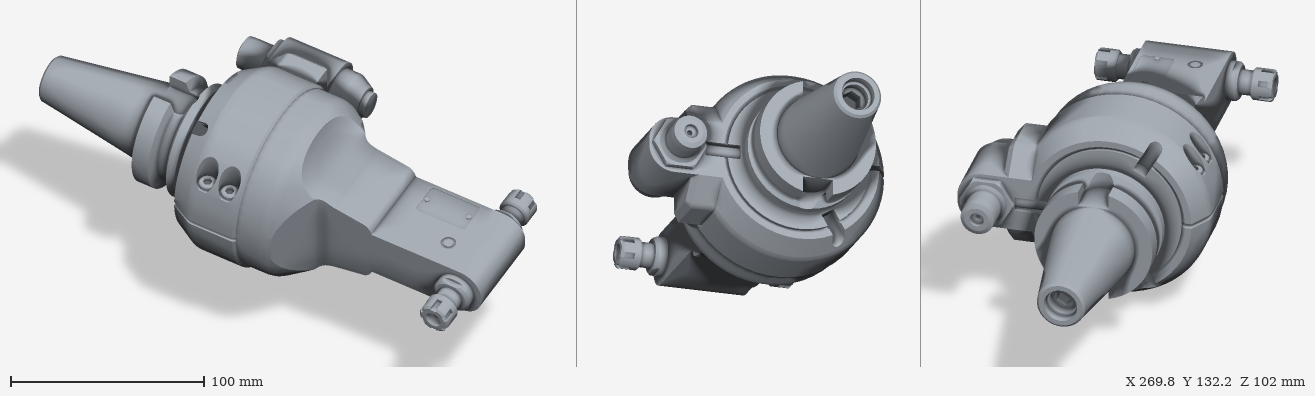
import cadquery as cq
import math


taper_length = 65.0
taper_chamfer = 1.3
taper_slope = 7 / 48
gauge_radius = 22.5
flange_start = 66.7
flange_radius = 31.5
groove_radius = 26.0
front_rim_end = 76.4
groove_start = 78.8
groove_end = 84.0
rear_rim_start = 87.2
flange_end = 92.0
neck_radius = 25.4
neck_end = 124.0
key_width = 16.2
key_floor = 22.5
key_end = 88.0
draw_bore_diameter = 17.8
draw_bore_depth = 5.5
thread_diameter = 14.5
thread_depth = 5.5
hex_socket_flats = 9.7
hex_socket_depth = 8.0

ring_start = 99.0
ring_end = 139.0
ring_radius = 51.0
ring_front_radius = 44.0
ring_cone_end = 111.7
ring_edge_radius = 8.0
ring_edge_chamfer = 1.3
nose_radius = 38.5
bore_chamfer = 2.0
slit_width = 2.7
notch_diameter = 7.5
notch_floor = 107.7
notch_inner_radius = 31.5
notch_outer_radius = 50.7
notch_count = 3
screw_first_x = 117.0
screw_pitch = 13.2
screw_y = -40.7
counterbore_diameter = 11.5
counterbore_floor = 21.5
screw_head_diameter = 9.0
screw_head_height = 2.7
screw_head_chamfer = 0.5
screw_socket_depth = 2.2
screw_socket_flats = 4.3

block_seat_y = 41.5
block_end = 134.5
block_outer_y = 57.2
block_half_width = 28.5
block_slope_length = 12.1
block_slope_fillet = 5.0
block_chamfer = 3.2
arm_half_width = 15.0
arm_tip_y = 81.2
arm_tip_radius = 13.5

plunger_y = 65.3
plunger_start = 77.7
plunger_tip_radius = 6.5
plunger_chamfer_end = 78.8
plunger_chamfer_radius = 9.0
plunger_shank_start = 83.0
plunger_radius = 9.2
plunger_flare_start = 93.4
plunger_flare_radius = 11.0
plunger_hole_diameter = 7.5
plunger_hole_depth = 2.7
plunger_vent_diameter = 3.0
plunger_vent_depth = 2.7
hex_start = 95.3
hex_flats = 25.4
hex_chamfer = 1.0
cap_radius = 13.2
cap_end = 142.2
cap_rim_end = 143.8
cap_rim_radius = 12.7
cap_cone_end = 150.5
cap_cone_radius = 9.0
knob_radius = 7.0
knob_end = 153.8

housing_radius = 49.5
shoulder_start = 151.5
shoulder_radius = 13.0
shoulder_angle = math.radians(33)
dome_end = 194.3
total_length = 269.8
blade_half_thickness = 14.3
blade_half_width = 23.2
blade_tip_radius = 12.7
blade_start = 204.8
wedge_end = 200.8
wedge_round_mid = (203.2, 17.5)
wedge_end_height = 19.5
wedge_start = 182.0
wedge_start_height = 23.0
flare_mid = (166.2, 33.2)
flare_start = (159.7, 47.0)
side_cut_start = (158.5, 46.7)
side_cut_end = (175.0, 23.2)
side_cut_fillet = 5.5

plate_start, plate_end = 215.5, 244.7
plate_low_y, plate_high_y = 3.2, 21.0
plate_depth = 0.3
plate_corner_radius = 2.0
rivet_diameter = 2.6
rivet_inset = 2.2
rivet_height = 0.5
plug_x, plug_y = 242.0, -8.4
plug_recess_diameter = 8.0
plug_head_diameter = 5.0
plug_recess_depth = 0.8

spindle_x = 255.3
collar_diameter = 20.8
collar_height = 6.2
collar_chamfer = 1.3
collar_flats = 17.5
collar_flat_height = 3.2
spindle_diameter = 13.2
nut_diameter = 17.0
nut_start = 36.0
nut_end = 47.5
nut_chamfer = 1.0
nut_bore_diameter = 9.0
nut_bore_depth = 5.5
nut_slot_count = 6
nut_slot_width = 3.2
nut_slot_depth = 2.0
nut_slot_length = 7.0


def box(x_range, y_range, z_range):
    """Axis-aligned box given by its limits."""
    (x0, x1), (y0, y1), (z0, z1) = x_range, y_range, z_range
    return cq.Workplane("XY").box(x1 - x0, y1 - y0, z1 - z0, centered=False).translate((x0, y0, z0))


def x_cylinder(radius, x0, x1, y=0.0):
    """Cylinder parallel to the X axis."""
    return cq.Workplane("YZ", origin=(x0, y, 0)).circle(radius).extrude(x1 - x0)


def x_hexagon(flats, x0, x1, y=0.0):
    """Hexagonal prism parallel to the X axis, with corners on its Y axis."""
    corner_diameter = flats / math.cos(math.pi / 6)
    return cq.Workplane("YZ", origin=(x0, y, 0)).polygon(6, corner_diameter).extrude(x1 - x0)


def revolve_about_x(profile):
    """Full turn of a closed XY-plane profile about the X axis."""
    return profile.close().revolve(360, (0, 0, 0), (1, 0, 0))


def make_arbor():
    small_end_radius = gauge_radius - taper_length * taper_slope
    arbor = revolve_about_x(
        cq.Workplane("XY").polyline([
            (0, 0),
            (0, small_end_radius - taper_chamfer),
            (taper_chamfer, small_end_radius),
            (taper_length, gauge_radius),
            (flange_start, gauge_radius),
            (flange_start, flange_radius),
            (front_rim_end, flange_radius),
            (groove_start, groove_radius),
            (groove_end, groove_radius),
            (rear_rim_start, flange_radius),
            (flange_end, flange_radius),
            (flange_end, neck_radius),
            (neck_end, neck_radius),
            (neck_end, 0),
        ])
    )
    key_round_x = key_end - key_width / 2
    key_height = flange_radius - key_floor + 2.7
    keyway = (
        cq.Workplane("XY", origin=(0, 0, key_floor))
        .moveTo(taper_length, -key_width / 2)
        .lineTo(key_round_x, -key_width / 2)
        .threePointArc((key_end, 0), (key_round_x, key_width / 2))
        .lineTo(taper_length, key_width / 2)
        .close()
        .extrude(key_height)
    )
    arbor = arbor.cut(keyway).cut(keyway.mirror("XY"))
    thread_end = draw_bore_depth + thread_depth
    hex_socket = x_hexagon(hex_socket_flats, thread_end, thread_end + hex_socket_depth)
    arbor = arbor.cut(x_cylinder(draw_bore_diameter / 2, 0, draw_bore_depth))
    arbor = arbor.cut(x_cylinder(thread_diameter / 2, 0, thread_end))
    return arbor.cut(hex_socket.rotate((0, 0, 0), (1, 0, 0), 90))


def make_dog():
    """Round radial dog along +Y that fits the bottom of a notch."""
    radius = notch_diameter / 2
    return (
        cq.Workplane("XZ", origin=(notch_floor - radius, notch_outer_radius, 0))
        .circle(radius)
        .extrude(notch_outer_radius - notch_inner_radius)
    )


def make_notch():
    """Round-bottomed radial notch in the front face, pointing along +Y."""
    radius = notch_diameter / 2
    round_x = notch_floor - radius
    mouth = box((ring_start - 2.7, round_x), (notch_inner_radius, notch_outer_radius), (-radius, radius))
    return mouth.union(make_dog())


def make_notches():
    """Evenly spaced notches, the first one pointing along +Y at the stop block."""
    notch = make_notch()
    notches = notch
    for index in range(1, notch_count):
        notches = notches.union(notch.rotate((0, 0, 0), (1, 0, 0), index * 360 / notch_count))
    return notches


def make_clamp_ring():
    ring = revolve_about_x(
        cq.Workplane("XY").polyline([
            (ring_start, 0),
            (ring_start, ring_front_radius),
            (ring_cone_end, ring_radius),
            (ring_end, ring_radius),
            (ring_end, 0),
        ])
    )
    cone_edge = cq.selectors.BoxSelector(
        (ring_cone_end - 0.3, -ring_radius - 2.7, -ring_radius - 2.7),
        (ring_cone_end + 0.3, ring_radius + 2.7, ring_radius + 2.7),
    )
    ring = ring.edges(cone_edge).fillet(ring_edge_radius)
    ring = ring.faces(">X").edges().chamfer(ring_edge_chamfer)

    seat = box((ring_start, block_end), (block_seat_y, ring_radius), (-ring_radius, ring_radius))
    ring = ring.cut(seat)

    ring = ring.cut(x_cylinder(nose_radius, ring_start, ring_end))
    bore_cone = revolve_about_x(
        cq.Workplane("XY").polyline([
            (ring_start, 0),
            (ring_start, nose_radius + bore_chamfer),
            (ring_start + bore_chamfer, nose_radius),
            (ring_start + bore_chamfer, 0),
        ])
    )
    ring = ring.cut(bore_cone)

    half_slit = slit_width / 2
    ring = ring.cut(box((ring_start, ring_end), (-ring_radius, -nose_radius / 2), (-half_slit, half_slit)))

    ring = ring.cut(make_notches())

    for x in (screw_first_x, screw_first_x + screw_pitch):
        floor = cq.Workplane("XY", origin=(x, screw_y, counterbore_floor))
        ring = ring.cut(floor.circle(counterbore_diameter / 2).extrude(ring_radius))
        head = (
            floor.circle(screw_head_diameter / 2)
            .extrude(screw_head_height)
            .faces(">Z").chamfer(screw_head_chamfer)
        )
        socket = (
            cq.Workplane("XY", origin=(0, 0, counterbore_floor + screw_head_height - screw_socket_depth))
            .polygon(6, screw_socket_flats / math.cos(math.pi / 6))
            .extrude(screw_socket_depth)
            .rotate((0, 0, 0), (0, 0, 1), 90)
            .translate((x, screw_y, 0))
        )
        head = head.cut(socket)
        ring = ring.union(head)
    return ring


def make_stop_block():
    """Wide foot with sloped front flanks, and the round-cornered arm that carries the plunger."""
    slope_end = ring_start + block_slope_length
    foot = (
        cq.Workplane("XZ", origin=(0, block_outer_y, 0))
        .polyline([
            (ring_start, -arm_half_width),
            (slope_end, -block_half_width),
            (block_end, -block_half_width),
            (block_end, block_half_width),
            (slope_end, block_half_width),
            (ring_start, arm_half_width),
        ])
        .close()
        .extrude(block_outer_y - block_seat_y)
    )
    for side in (-1, 1):
        slope_edge = cq.selectors.NearestToPointSelector(
            (slope_end, (block_seat_y + block_outer_y) / 2, side * block_half_width)
        )
        foot = foot.edges("|Y").edges(slope_edge).fillet(block_slope_fillet)
    foot = foot.faces(">Y").edges().chamfer(block_chamfer)
    arm = box((ring_start, block_end), (block_seat_y, arm_tip_y), (-arm_half_width, arm_half_width))
    arm = arm.edges("|X and >Y").fillet(arm_tip_radius)
    return foot.union(arm)


def make_plunger():
    """Turned plunger with a hexagon collar ahead of the block and a tapered cap behind it."""
    plunger = revolve_about_x(
        cq.Workplane("XY").polyline([
            (plunger_start, 0),
            (plunger_start, plunger_tip_radius),
            (plunger_chamfer_end, plunger_chamfer_radius),
            (plunger_shank_start, plunger_radius),
            (plunger_flare_start, plunger_radius),
            (hex_start, plunger_flare_radius),
            (block_end, plunger_flare_radius),
            (block_end, cap_radius),
            (cap_end, cap_radius),
            (cap_rim_end, cap_rim_radius),
            (cap_cone_end, cap_cone_radius),
            (cap_cone_end, knob_radius),
            (knob_end, knob_radius),
            (knob_end, 0),
        ])
    ).translate((0, plunger_y, 0))
    collar = x_hexagon(hex_flats, hex_start, ring_start, plunger_y)
    corner_radius = hex_flats / 2 / math.cos(math.pi / 6)
    blank = x_cylinder(corner_radius, hex_start, ring_start, plunger_y).faces("<X").chamfer(hex_chamfer)
    plunger = plunger.union(collar.intersect(blank))
    hole_end = plunger_start + plunger_hole_depth
    vent_end = hole_end + plunger_vent_depth
    plunger = plunger.cut(x_cylinder(plunger_hole_diameter / 2, plunger_start, hole_end, plunger_y))
    return plunger.cut(x_cylinder(plunger_vent_diameter / 2, hole_end, vent_end, plunger_y))


def make_stop_unit():
    """Stop block with its plunger and the dog that lies in the first notch."""
    return make_stop_block().cut(make_notch()).union(make_plunger()).union(make_dog())


def make_housing_body():
    """Turned drum with a conical end, carved to a flat blade by a side and a plan outline."""
    shoulder_end = shoulder_start + shoulder_radius * math.sin(shoulder_angle)
    shoulder_end_radius = housing_radius - shoulder_radius * (1 - math.cos(shoulder_angle))
    shoulder_mid = (
        shoulder_start + shoulder_radius * math.sin(shoulder_angle / 2),
        housing_radius - shoulder_radius * (1 - math.cos(shoulder_angle / 2)),
    )
    dome_end_radius = shoulder_end_radius - (dome_end - shoulder_end) * math.tan(shoulder_angle)
    drum = revolve_about_x(
        cq.Workplane("XY")
        .moveTo(ring_start, 0)
        .lineTo(ring_start, nose_radius)
        .lineTo(ring_end, nose_radius)
        .lineTo(ring_end, housing_radius)
        .lineTo(shoulder_start, housing_radius)
        .threePointArc(shoulder_mid, (shoulder_end, shoulder_end_radius))
        .lineTo(dome_end, dome_end_radius)
        .lineTo(dome_end, 0)
    )
    blade = box(
        (dome_end - 21.5, total_length),
        (-blade_half_width, blade_half_width),
        (-wedge_start_height - 2.7, wedge_start_height + 2.7),
    )
    side_outline = (
        cq.Workplane("XZ", origin=(0, housing_radius, 0))
        .moveTo(ring_start, -housing_radius)
        .lineTo(flare_start[0], -housing_radius)
        .lineTo(flare_start[0], -flare_start[1])
        .threePointArc((flare_mid[0], -flare_mid[1]), (wedge_start, -wedge_start_height))
        .lineTo(wedge_end, -wedge_end_height)
        .threePointArc((wedge_round_mid[0], -wedge_round_mid[1]), (blade_start, -blade_half_thickness))
        .lineTo(total_length, -blade_half_thickness)
        .lineTo(total_length, blade_half_thickness)
        .lineTo(blade_start, blade_half_thickness)
        .threePointArc(wedge_round_mid, (wedge_end, wedge_end_height))
        .lineTo(wedge_start, wedge_start_height)
        .threePointArc(flare_mid, flare_start)
        .lineTo(flare_start[0], housing_radius)
        .lineTo(ring_start, housing_radius)
        .close()
        .extrude(2 * housing_radius)
        .edges("|Y and >X").fillet(blade_tip_radius)
    )
    plan_outline = (
        cq.Workplane("XY", origin=(0, 0, -housing_radius))
        .polyline([
            (ring_start, -housing_radius),
            (side_cut_start[0], -housing_radius),
            (side_cut_start[0], -side_cut_start[1]),
            (side_cut_end[0], -side_cut_end[1]),
            (total_length, -blade_half_width),
            (total_length, blade_half_width),
            side_cut_end,
            side_cut_start,
            (side_cut_start[0], housing_radius),
            (ring_start, housing_radius),
        ])
        .close()
        .extrude(2 * housing_radius)
    )
    root_edges = cq.selectors.BoxSelector(
        (side_cut_end[0] - 0.3, -blade_half_width - 0.3, -2.7),
        (side_cut_end[0] + 0.3, blade_half_width + 0.3, 2.7),
    )
    plan_outline = plan_outline.edges(root_edges).fillet(side_cut_fillet)
    return drum.union(blade).intersect(side_outline).intersect(plan_outline)


def make_housing():
    housing = make_housing_body()
    housing = housing.cut(x_cylinder(neck_radius, ring_start, neck_end)).cut(make_notches())
    cross_hole = (
        cq.Workplane("XZ", origin=(spindle_x, blade_half_width, 0))
        .circle(spindle_diameter / 2)
        .extrude(2 * blade_half_width)
    )
    housing = housing.cut(cross_hole)

    plate_floor = blade_half_thickness - plate_depth
    plate_y = (plate_low_y + plate_high_y) / 2
    plate = box(
        (plate_start, plate_end),
        (plate_low_y, plate_high_y),
        (plate_floor, blade_half_thickness),
    )
    housing = housing.cut(plate.edges("|Z").fillet(plate_corner_radius))
    for x in (plate_start + rivet_inset, plate_end - rivet_inset):
        rivet = cq.Workplane("XY", origin=(x, plate_y, plate_floor)).circle(rivet_diameter / 2)
        housing = housing.union(rivet.extrude(plate_depth + rivet_height))

    recess = (
        cq.Workplane("XY", origin=(plug_x, plug_y, blade_half_thickness - plug_recess_depth))
        .circle(plug_recess_diameter / 2)
        .circle(plug_head_diameter / 2)
        .extrude(plug_recess_depth)
    )
    return housing.cut(recess)


def make_spindle_end():
    """Collar, neck and slotted collet nut on the +Z axis, measured from the blade centre plane."""
    collar_end = blade_half_width + collar_height
    flat_start = collar_end - collar_flat_height
    collar = (
        cq.Workplane("XY", origin=(0, 0, blade_half_width))
        .circle(collar_diameter / 2)
        .extrude(collar_height)
        .faces(">Z").edges().chamfer(collar_chamfer)
    )
    for side in (-1, 1):
        flat = cq.Workplane("XY", origin=(0, side * collar_diameter, flat_start)).rect(
            collar_diameter, 2 * collar_diameter - collar_flats
        )
        collar = collar.cut(flat.extrude(collar_flat_height))
    neck = cq.Workplane("XY").circle(spindle_diameter / 2).extrude(nut_start)
    nut = (
        cq.Workplane("XY", origin=(0, 0, nut_start))
        .circle(nut_diameter / 2)
        .extrude(nut_end - nut_start)
        .edges("%CIRCLE").chamfer(nut_chamfer)
    )
    nut_radius = nut_diameter / 2
    slot = box(
        (-nut_slot_width / 2, nut_slot_width / 2),
        (nut_radius - nut_slot_depth, nut_radius + 2.7),
        (nut_end - nut_slot_length, nut_end),
    )
    for index in range(nut_slot_count):
        nut = nut.cut(slot.rotate((0, 0, 0), (0, 0, 1), index * 360 / nut_slot_count))
    bore_floor = cq.Workplane("XY", origin=(0, 0, nut_end - nut_bore_depth))
    nut = nut.cut(bore_floor.circle(nut_bore_diameter / 2).extrude(nut_bore_depth))
    return collar.union(neck).union(nut)


def make_spindle():
    """Through spindle along Y with the same collet nut at both ends."""
    front_end = make_spindle_end().rotate((0, 0, 0), (1, 0, 0), 90)
    spindle = front_end.union(front_end.mirror("XZ"))
    return spindle.translate((spindle_x, 0, 0))


arbor = make_arbor()
clamp_ring = make_clamp_ring()
stop_unit = make_stop_unit()
housing = make_housing()
spindle = make_spindle()

result = cq.Compound.makeCompound([
    arbor.val(),
    clamp_ring.val(),
    stop_unit.val(),
    housing.val(),
    spindle.val(),
])